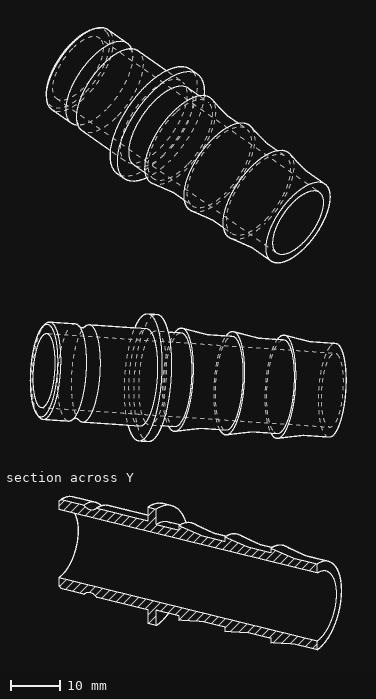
import cadquery as cq

total_length = 61.0
bore_radius = 7.5

spigot_radius = 9.9
nose_chamfer = 0.5

groove_centre = 7.4
groove_width = 2.9
groove_depth = 0.7

flange_diameter = 25.8
flange_start = 21.0
flange_thickness = 2.0
flange_end = flange_start + flange_thickness

tail_radius = 9.5
barb_radius = 10.5
barb_count = 3
barb_length = 5.5
barb_pitch = (total_length - barb_length - flange_end) / barb_count
first_barb_start = flange_end + barb_pitch - barb_length


def cylinder_along_x(start, length, radius):
    return cq.Workplane("YZ", origin=(start, 0, 0)).circle(radius).extrude(length)


def revolve_about_x(profile):
    return profile.close().revolve(360, (0, 0, 0), (1, 0, 0))


def make_spigot():
    spigot = cylinder_along_x(0, flange_start, spigot_radius).faces("<X").chamfer(nose_chamfer)
    groove = revolve_about_x(
        cq.Workplane("XZ")
        .moveTo(groove_centre - groove_width / 2, spigot_radius)
        .threePointArc(
            (groove_centre, spigot_radius - groove_depth),
            (groove_centre + groove_width / 2, spigot_radius),
        )
    )
    return spigot.cut(groove)


def make_barb(start):
    """A ring with a square shoulder facing the flange and a conical flank falling to the tail."""
    end = start + barb_length
    return revolve_about_x(
        cq.Workplane("XZ")
        .moveTo(start, 0)
        .lineTo(start, barb_radius)
        .lineTo(end, tail_radius)
        .lineTo(end, 0)
    )


body = make_spigot()
body = body.union(cylinder_along_x(flange_start, flange_thickness, flange_diameter / 2))
body = body.union(cylinder_along_x(flange_end, total_length - flange_end, tail_radius))
for index in range(barb_count):
    body = body.union(make_barb(first_barb_start + index * barb_pitch))

result = body.cut(cylinder_along_x(0, total_length, bore_radius))